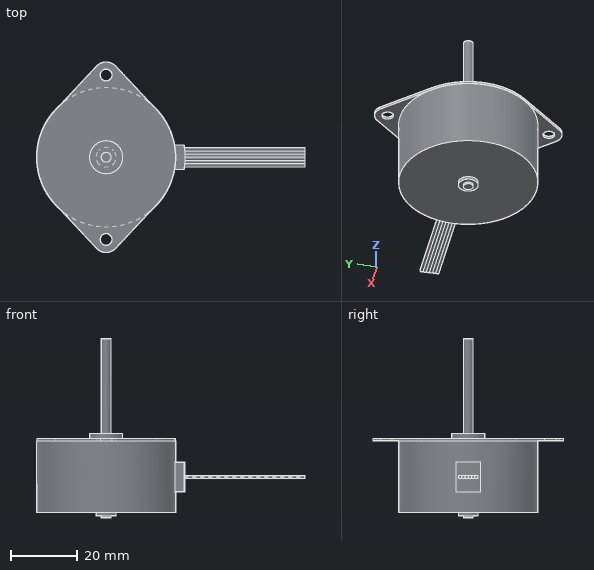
import cadquery as cq
import math

can_radius = 21.02
can_height = 22.4

flange_thickness = 0.8
flange_radius = 20.9
ear_offset = 24.8
flange_half_length = 28.75
ear_radius = flange_half_length - ear_offset
mounting_hole_diameter = 3.5

overall_height = 54.0
shaft_diameter = 3.0
shaft_bottom_projection = 1.5
top_boss_diameter = 10.0
top_boss_height = 1.45
bottom_boss_diameter = 6.0
bottom_boss_height = 1.0

outlet_radius = 23.8
outlet_width = 7.45
outlet_height = 9.0
outlet_center_z = 10.8

overall_length = 81
cable_end_x = overall_length - can_radius
wire_count = 6
wire_diameter = 1.05
wire_pitch = 1.0


def cylinder(diameter, bottom_z, height):
    """Cylinder on the motor axis."""
    return cq.Workplane("XY").workplane(offset=bottom_z).circle(diameter / 2).extrude(height)


def make_flange():
    """Diamond plate whose straight edges are tangent to the main and ear arcs."""
    tangent_angle = math.asin((flange_radius - ear_radius) / ear_offset)
    normal_x = math.cos(tangent_angle)
    normal_y = math.sin(tangent_angle)
    side_x = flange_radius * normal_x
    side_y = flange_radius * normal_y
    ear_x = ear_radius * normal_x
    ear_y = ear_offset + ear_radius * normal_y
    return (
        cq.Workplane("XY")
        .workplane(offset=can_height - flange_thickness)
        .moveTo(side_x, -side_y)
        .threePointArc((flange_radius, 0), (side_x, side_y))
        .lineTo(ear_x, ear_y)
        .threePointArc((0, flange_half_length), (-ear_x, ear_y))
        .lineTo(-side_x, side_y)
        .threePointArc((-flange_radius, 0), (-side_x, -side_y))
        .lineTo(-ear_x, -ear_y)
        .threePointArc((0, -flange_half_length), (ear_x, -ear_y))
        .close()
        .pushPoints([(0, ear_offset), (0, -ear_offset)])
        .circle(mounting_hole_diameter / 2)
        .extrude(flange_thickness)
    )


def make_outlet():
    """Block running from the motor axis out to the curved outlet face."""
    block = (
        cq.Workplane("XY")
        .box(outlet_radius, outlet_width, outlet_height, centered=(False, True, True))
        .translate((0, 0, outlet_center_z))
    )
    envelope = cylinder(2 * outlet_radius, 0, can_height)
    return block.intersect(envelope)


def make_wire(center_y):
    """Straight wire along X, starting inside the can."""
    return (
        cq.Workplane("YZ")
        .center(center_y, outlet_center_z)
        .circle(wire_diameter / 2)
        .extrude(cable_end_x)
    )


result = cylinder(2 * can_radius, 0, can_height - flange_thickness)
result = result.union(make_flange())
result = result.union(cylinder(shaft_diameter, -shaft_bottom_projection, overall_height))
result = result.union(cylinder(top_boss_diameter, can_height, top_boss_height))
result = result.union(cylinder(bottom_boss_diameter, -bottom_boss_height, bottom_boss_height))
result = result.union(make_outlet())

for index in range(wire_count):
    wire_y = (index - (wire_count - 1) / 2) * wire_pitch
    result = result.union(make_wire(wire_y))